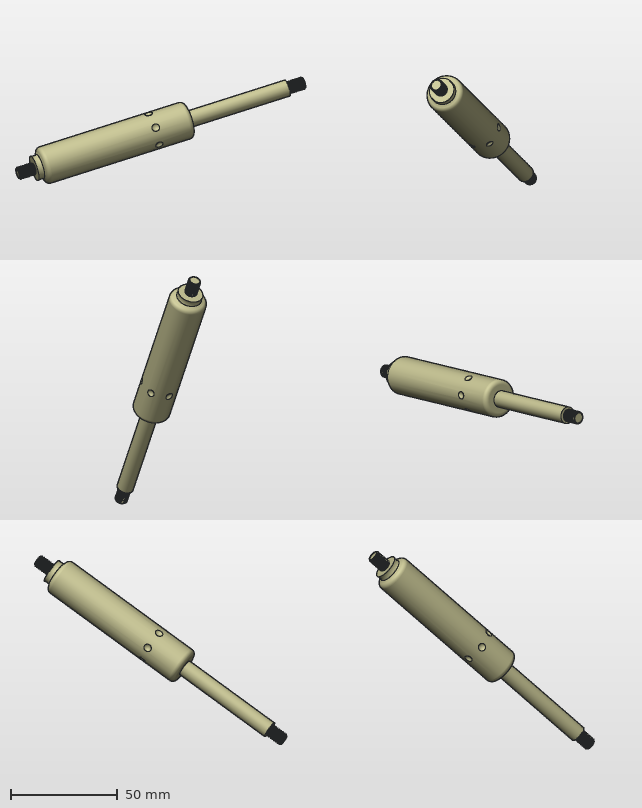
import cadquery as cq
import math

total_length = 145.0
stud_length = 8.4
neck_length = 3.5
barrel_length = 74.7

barrel_diameter = 18.0
barrel_fillet = 2.2
shoulder_diameter = 14.6
shoulder_rounding_length = 2.2
neck_diameter = 12.0
neck_waist_diameter = 11.6
neck_cone_length = 0.6
rod_diameter = 8.0

stud_diameter = 6.0
stud_root_diameter = 5.0
thread_count = 8
thread_pitch = 1.0
thread_crest_width = 0.1
thread_root_width = 0.3

dimple_count = 6
dimple_ball_diameter = 4.4
dimple_mouth_diameter = 3.5
dimple_setback = 18.4

housing_stud_end = -total_length / 2
neck_start = housing_stud_end + stud_length
barrel_start = neck_start + neck_length
barrel_end = barrel_start + barrel_length
rod_stud_end = total_length / 2
rod_end = rod_stud_end - stud_length


def cylinder(diameter, start, end):
    """Solid cylinder on the Y axis between two stations."""
    return cq.Workplane("XZ", origin=(0, start, 0)).circle(diameter / 2).extrude(start - end)


def revolved(profile):
    """Solid of revolution about the Y axis from a closed profile of (radius, y)."""
    return profile.close().revolve(360, (0, 0, 0), (0, 1, 0))


def threaded_stud(start):
    """Stud on the Y axis with evenly spaced ridges, centred along its length."""
    root_radius = stud_root_diameter / 2
    crest_radius = stud_diameter / 2
    half_ridge = (thread_pitch - thread_root_width) / 2
    half_crest = thread_crest_width / 2
    first_crest = start + (stud_length - (thread_count - 1) * thread_pitch) / 2
    points = [(0, start), (root_radius, start)]
    for ridge in range(thread_count):
        crest = first_crest + ridge * thread_pitch
        points += [
            (root_radius, crest - half_ridge),
            (crest_radius, crest - half_crest),
            (crest_radius, crest + half_crest),
            (root_radius, crest + half_ridge),
        ]
    points += [(root_radius, start + stud_length), (0, start + stud_length)]
    return revolved(cq.Workplane("XY").polyline(points))


def dimple_balls():
    """Balls whose cuts leave round dimples evenly spaced around the barrel."""
    ball_radius = dimple_ball_diameter / 2
    mouth_radius = dimple_mouth_diameter / 2
    mouth_distance = math.sqrt((barrel_diameter / 2) ** 2 - mouth_radius ** 2)
    center_distance = mouth_distance + math.sqrt(ball_radius ** 2 - mouth_radius ** 2)
    balls = cq.Workplane("XY")
    for index in range(dimple_count):
        angle = 2 * math.pi * index / dimple_count
        center_x = center_distance * math.cos(angle)
        center_z = center_distance * math.sin(angle)
        center = (center_x, barrel_end - dimple_setback, center_z)
        balls = balls.add(cq.Workplane("XY", origin=center).sphere(ball_radius))
    return balls


def make_barrel():
    """Barrel filleted at the rod end and rounded down to a shoulder at the neck end."""
    radius = barrel_diameter / 2
    barrel = revolved(
        cq.Workplane("XY")
        .moveTo(0, barrel_end)
        .lineTo(radius, barrel_end)
        .lineTo(radius, barrel_start + shoulder_rounding_length)
        .tangentArcPoint((shoulder_diameter / 2, barrel_start), relative=False)
        .lineTo(0, barrel_start)
    )
    return barrel.faces(">Y").edges().fillet(barrel_fillet)


def make_neck():
    """Neck with a short cone under the barrel and a concave, waisted side."""
    neck_radius = neck_diameter / 2
    waist_end = barrel_start - neck_cone_length
    waist = (neck_waist_diameter / 2, (neck_start + waist_end) / 2)
    return revolved(
        cq.Workplane("XY")
        .moveTo(0, neck_start)
        .lineTo(neck_radius, neck_start)
        .threePointArc(waist, (neck_radius, waist_end))
        .lineTo(shoulder_diameter / 2, barrel_start)
        .lineTo(0, barrel_start)
    )


def make_housing():
    """Rounded barrel with dimples, a neck and a threaded stud."""
    barrel = make_barrel()
    for ball in dimple_balls().vals():
        barrel = barrel.cut(cq.Workplane(ball))
    return barrel.union(make_neck()).union(threaded_stud(housing_stud_end))


def make_rod():
    """Plain rod ending in a threaded stud, standing on the end of the barrel."""
    return cylinder(rod_diameter, barrel_end, rod_end).union(threaded_stud(rod_end))


housing = make_housing()
rod = make_rod()
result = cq.Compound.makeCompound([housing.val(), rod.val()])